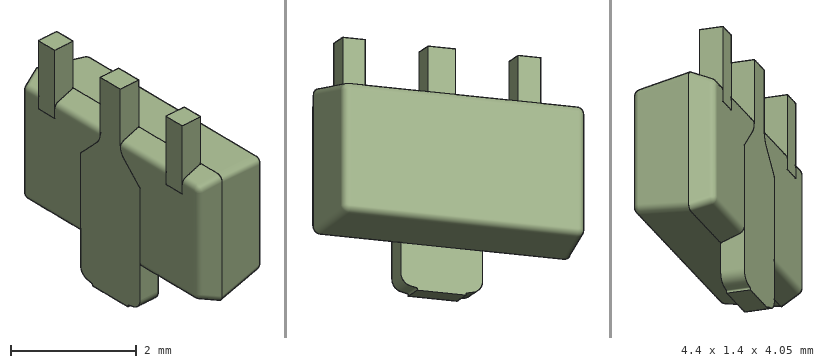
import cadquery as cq
import math

BODY_WIDTH = 4.4
BODY_HEIGHT = 2.402
BODY_DEPTH = 1.4
LEAD_THICKNESS = 0.4
BACK_DRAFT = 8.0
FRONT_DRAFT = 20.0
BODY_FILLET = 0.125

LEAD_TOP = 2.09
SIDE_LEAD_WIDTH = 0.385
SIDE_LEAD_PITCH = 1.5
SIDE_LEAD_END = 0.795

CENTER_LEAD_WIDTH = 0.47
TAB_WIDTH = 1.4
TAB_SHOULDER = 0.43
TAB_BOTTOM = LEAD_TOP - 4.05
NECK_RADIUS = 0.3
CORNER_RADIUS = 0.2
CORNER_START = 0.255
LIP_WIDTH = 0.835
LIP_HEIGHT = 0.035
LIP_FILLET = 0.02
SLOPE_ANGLE = 8.0


def xz_plane(y):
    """XZ sketch plane at depth y whose extrusions run towards -Y."""
    return cq.Workplane("XZ", origin=(0, y, 0))


def housing_half(depth, draft):
    """Tapered half starting at the parting plane; positive depth runs towards -Y."""
    half = (
        xz_plane(LEAD_THICKNESS)
        .rect(BODY_WIDTH, BODY_HEIGHT)
        .extrude(depth, taper=draft)
    )
    parting_edges = ">Y" if depth > 0 else "<Y"
    return half.edges(f"not {parting_edges}").fillet(BODY_FILLET)


def make_housing(leads):
    """Molded housing with a matching recess for every lead."""
    front = housing_half(LEAD_THICKNESS, FRONT_DRAFT)
    back = housing_half(LEAD_THICKNESS - BODY_DEPTH, BACK_DRAFT)
    housing = front.union(back)
    for lead in leads:
        housing = housing.cut(lead)
    return housing


def make_side_lead(x):
    """Straight rectangular lead centred on x."""
    return (
        xz_plane(LEAD_THICKNESS)
        .center(x, (LEAD_TOP + SIDE_LEAD_END) / 2)
        .rect(SIDE_LEAD_WIDTH, LEAD_TOP - SIDE_LEAD_END)
        .extrude(LEAD_THICKNESS)
    )


def make_center_lead():
    """Narrow lead widening at 45 degrees into the heat-sink tab."""
    lead_x = CENTER_LEAD_WIDTH / 2
    tab_x = TAB_WIDTH / 2
    lip_x = LIP_WIDTH / 2
    neck_z = TAB_SHOULDER + tab_x - lead_x
    lip_z = TAB_BOTTOM + LIP_HEIGHT

    slope = math.radians(SLOPE_ANGLE)
    corner_x = tab_x - CORNER_RADIUS
    corner_z = TAB_BOTTOM + CORNER_START
    corner_end = (
        corner_x + CORNER_RADIUS * math.sin(slope),
        corner_z - CORNER_RADIUS * math.cos(slope),
    )
    middle = (slope - math.pi / 2) / 2
    corner_middle = (
        corner_x + CORNER_RADIUS * math.cos(middle),
        corner_z + CORNER_RADIUS * math.sin(middle),
    )

    half = (
        xz_plane(LEAD_THICKNESS)
        .moveTo(0, LEAD_TOP)
        .lineTo(lead_x, LEAD_TOP)
        .lineTo(lead_x, neck_z)
        .lineTo(tab_x, TAB_SHOULDER)
        .lineTo(tab_x, corner_z)
        .threePointArc(corner_middle, corner_end)
        .lineTo(lip_x, lip_z)
        .lineTo(lip_x, TAB_BOTTOM)
        .lineTo(0, TAB_BOTTOM)
        .close()
        .extrude(LEAD_THICKNESS)
    )
    middle_y = LEAD_THICKNESS / 2
    half = half.edges(cq.NearestToPointSelector((lead_x, middle_y, neck_z))).fillet(NECK_RADIUS)
    half = half.edges(cq.NearestToPointSelector((lip_x, middle_y, lip_z))).fillet(LIP_FILLET)
    return half.union(half.mirror("YZ")).clean()


center_lead = make_center_lead()
side_leads = [make_side_lead(side * SIDE_LEAD_PITCH) for side in (-1, 1)]
housing = make_housing([center_lead, *side_leads])

result = cq.Compound.makeCompound(
    [housing.val(), center_lead.val(), *[lead.val() for lead in side_leads]]
)